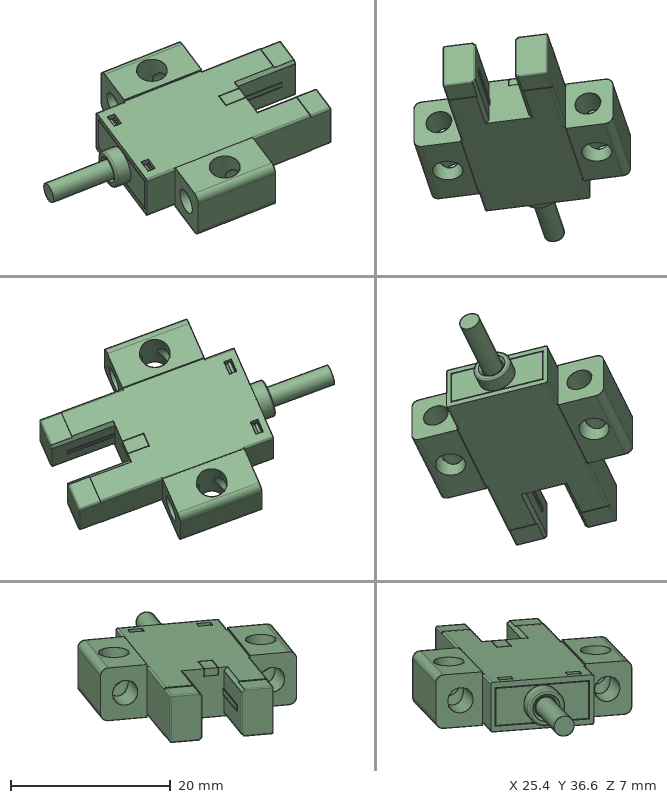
import cadquery as cq


OVERALL_LENGTH = 36.6

HOUSING_WIDTH = 13.35
HOUSING_LENGTH = 26.2
HOUSING_THICKNESS = 6.48
TOP_Z = HOUSING_THICKNESS / 2
HOUSING_EDGE_FILLET = 0.25

SLOT_WIDTH = 5.1
SLOT_DEPTH = 8.5
SLOT_EDGE_CHAMFER = 0.48
SLOT_FLOOR_Y = HOUSING_LENGTH - SLOT_DEPTH

TIP_LENGTH = 2.9
TIP_STEP = 0.1
TIP_EDGE_FILLET = 0.22
TIP_END_FILLET = 0.15
TIP_THICKNESS = HOUSING_THICKNESS - 2 * TIP_STEP

EAR_SPAN = 25.4
EAR_LENGTH = 11.0
EAR_THICKNESS = 7.0
EAR_REAR_Y = 4.0
EAR_EDGE_FILLET = 1.0
EAR_HOLE_X = 9.5
EAR_VERTICAL_HOLE_DIAMETER = 3.8
EAR_LENGTHWISE_HOLE_DIAMETER = 3.25
EAR_CENTRE_Y = EAR_REAR_Y + EAR_LENGTH / 2

OPENING_WIDTH = 12.22
OPENING_HEIGHT = 5.0
OPENING_DEPTH = 2.0
COVER_GAP = 0.09
COVER_WIDTH = OPENING_WIDTH - 2 * COVER_GAP
COVER_HEIGHT = OPENING_HEIGHT - 2 * COVER_GAP

LATCH_WINDOW_X = 4.43
LATCH_WINDOW_WIDTH = 1.8
LATCH_WINDOW_REAR_Y = 0.88
LATCH_WINDOW_FRONT_Y = 1.85
HOOK_X = 4.5
HOOK_WIDTH = 1.5
HOOK_REAR_Y = 1.0
HOOK_RAMP_Y = 1.43
HOOK_FRONT_Y = 1.72
HOOK_RAMP_DROP = 0.3
HOOK_TOP_Z = 2.7

COLLAR_DIAMETER = 4.8
COLLAR_LENGTH = 2.0
COLLAR_FILLET = 0.22
COLLAR_MOUTH_DIAMETER = 3.5
COLLAR_THROAT_DIAMETER = 2.8
COLLAR_MOUTH_DEPTH = 0.35

CABLE_DIAMETER = 2.6
CABLE_END_Y = HOUSING_LENGTH - OVERALL_LENGTH

INDICATOR_RECESS_LEFT_X = -1.83
INDICATOR_RECESS_WIDTH = 1.85
INDICATOR_RECESS_LENGTH = 2.9
INDICATOR_GAP = 0.055
INDICATOR_DEPTH = 1.0

WINDOW_FRONT_Y = 24.2
WINDOW_HEIGHT = 0.8
WINDOW_RISE = 0.1


def box_between(x_range, y_range, z_range):
    """Axis-aligned box given by its lower and upper limits."""
    (x0, x1), (y0, y1), (z0, z1) = x_range, y_range, z_range
    return cq.Workplane("XY").box(x1 - x0, y1 - y0, z1 - z0, centered=False).translate((x0, y0, z0))


def centred(size):
    """Limits of a length centred on zero."""
    return (-size / 2, size / 2)


def rod(diameter, y_start, y_end):
    """Cylinder along Y on the cable axis."""
    return cq.Workplane("XZ", origin=(0, y_end, 0)).circle(diameter / 2).extrude(y_end - y_start)


def make_fork():
    """Main block with thinner tips and the slot between its arms."""
    body_end_y = HOUSING_LENGTH - TIP_LENGTH
    body = box_between(centred(HOUSING_WIDTH), (0, body_end_y), centred(HOUSING_THICKNESS))
    tips = box_between(centred(HOUSING_WIDTH), (body_end_y, HOUSING_LENGTH), centred(TIP_THICKNESS))
    tips = tips.edges("|Y").fillet(TIP_EDGE_FILLET)
    body = body.edges("|Y").fillet(HOUSING_EDGE_FILLET)
    fork = body.union(tips)
    half_slot = SLOT_WIDTH / 2
    half_mouth = half_slot + SLOT_EDGE_CHAMFER
    chamfer_z = TOP_Z - SLOT_EDGE_CHAMFER
    slot_section = [
        (half_mouth, TOP_Z),
        (half_slot, chamfer_z),
        (half_slot, -chamfer_z),
        (half_mouth, -TOP_Z),
        (-half_mouth, -TOP_Z),
        (-half_slot, -chamfer_z),
        (-half_slot, chamfer_z),
        (-half_mouth, TOP_Z),
    ]
    slot = (
        cq.Workplane("XZ", origin=(0, HOUSING_LENGTH, 0))
        .polyline(slot_section)
        .close()
        .extrude(SLOT_DEPTH)
    )
    return fork.cut(slot).faces(">Y").edges().fillet(TIP_END_FILLET)


def make_ears():
    """Pair of ears joined by a square-edged bridge that fills the housing width."""
    ear_front_y = EAR_REAR_Y + EAR_LENGTH
    y_range = (EAR_REAR_Y, ear_front_y)
    block = box_between(centred(EAR_SPAN), y_range, centred(EAR_THICKNESS))
    block = block.edges("|Y").fillet(EAR_EDGE_FILLET)
    middle = box_between(centred(HOUSING_WIDTH), y_range, centred(EAR_THICKNESS))
    bridge = box_between(centred(HOUSING_WIDTH), y_range, centred(HOUSING_THICKNESS))
    ears = block.cut(middle).union(bridge)
    for side in (-1, 1):
        vertical_hole = (
            cq.Workplane("XY", origin=(side * EAR_HOLE_X, EAR_CENTRE_Y, 0))
            .circle(EAR_VERTICAL_HOLE_DIAMETER / 2)
            .extrude(EAR_THICKNESS, both=True)
        )
        lengthwise_hole = rod(EAR_LENGTHWISE_HOLE_DIAMETER, EAR_REAR_Y, ear_front_y)
        lengthwise_hole = lengthwise_hole.translate((side * EAR_HOLE_X, 0, 0))
        ears = ears.cut(vertical_hole).cut(lengthwise_hole)
    return ears


def make_housing():
    """Fork and ears, with the rear opening, latch windows and indicator recess cut in."""
    housing = make_fork().union(make_ears())
    opening = box_between(centred(OPENING_WIDTH), (0, OPENING_DEPTH), centred(OPENING_HEIGHT))
    housing = housing.cut(opening)
    for side in (-1, 1):
        latch_window = box_between(
            centred(LATCH_WINDOW_WIDTH), (LATCH_WINDOW_REAR_Y, LATCH_WINDOW_FRONT_Y), (0, TOP_Z)
        ).translate((side * LATCH_WINDOW_X, 0, 0))
        housing = housing.cut(latch_window)
    indicator_recess = box_between(
        (INDICATOR_RECESS_LEFT_X, INDICATOR_RECESS_LEFT_X + INDICATOR_RECESS_WIDTH),
        (SLOT_FLOOR_Y - INDICATOR_RECESS_LENGTH, SLOT_FLOOR_Y),
        (TOP_Z - INDICATOR_DEPTH, TOP_Z),
    )
    return housing.cut(indicator_recess)


def make_hook():
    """Latch hook with a ramp on its leading side, centred on X = 0."""
    return (
        cq.Workplane("YZ", origin=(-HOOK_WIDTH / 2, 0, 0))
        .moveTo(HOOK_REAR_Y, 0)
        .lineTo(HOOK_REAR_Y, HOOK_TOP_Z)
        .lineTo(HOOK_RAMP_Y, HOOK_TOP_Z)
        .lineTo(HOOK_FRONT_Y, HOOK_TOP_Z - HOOK_RAMP_DROP)
        .lineTo(HOOK_FRONT_Y, 0)
        .close()
        .extrude(HOOK_WIDTH)
    )


def make_cover():
    """Rear cover with two latch hooks and the collar that holds the cable."""
    cover = box_between(centred(COVER_WIDTH), (0, OPENING_DEPTH), centred(COVER_HEIGHT))
    for side in (-1, 1):
        cover = cover.union(make_hook().translate((side * HOOK_X, 0, 0)))
    collar = rod(COLLAR_DIAMETER, -COLLAR_LENGTH, 0).faces("<Y").edges().fillet(COLLAR_FILLET)
    throat_y = -COLLAR_LENGTH + COLLAR_MOUTH_DEPTH
    mouth = (
        cq.Workplane("XY")
        .moveTo(0, -COLLAR_LENGTH)
        .lineTo(COLLAR_MOUTH_DIAMETER / 2, -COLLAR_LENGTH)
        .lineTo(COLLAR_THROAT_DIAMETER / 2, throat_y)
        .lineTo(0, throat_y)
        .close()
        .revolve(360, (0, 0), (0, 1))
    )
    cable_hole = rod(CABLE_DIAMETER, -COLLAR_LENGTH, OPENING_DEPTH)
    return cover.union(collar).cut(mouth).cut(cable_hole)


def make_cable():
    """Cable running through the collar to the inner face of the cover."""
    return rod(CABLE_DIAMETER, CABLE_END_Y, OPENING_DEPTH)


def make_indicator():
    """Flat block in the indicator recess, with a narrow gap on three sides."""
    left_x = INDICATOR_RECESS_LEFT_X + INDICATOR_GAP
    right_x = INDICATOR_RECESS_LEFT_X + INDICATOR_RECESS_WIDTH - INDICATOR_GAP
    rear_y = SLOT_FLOOR_Y - INDICATOR_RECESS_LENGTH + INDICATOR_GAP
    return box_between((left_x, right_x), (rear_y, SLOT_FLOOR_Y), (TOP_Z - INDICATOR_DEPTH, TOP_Z))


def make_sensing_window(side):
    """Raised strip on the slot wall of one arm; side is -1 or 1."""
    strip = box_between(centred(WINDOW_RISE), (SLOT_FLOOR_Y, WINDOW_FRONT_Y), centred(WINDOW_HEIGHT))
    return strip.translate((side * (SLOT_WIDTH - WINDOW_RISE) / 2, 0, 0))


housing = make_housing()
cover = make_cover()
cable = make_cable()
indicator = make_indicator()
sensing_windows = [make_sensing_window(side) for side in (-1, 1)]

result = cq.Compound.makeCompound(
    [housing.val(), cover.val(), cable.val(), indicator.val()]
    + [window.val() for window in sensing_windows]
)